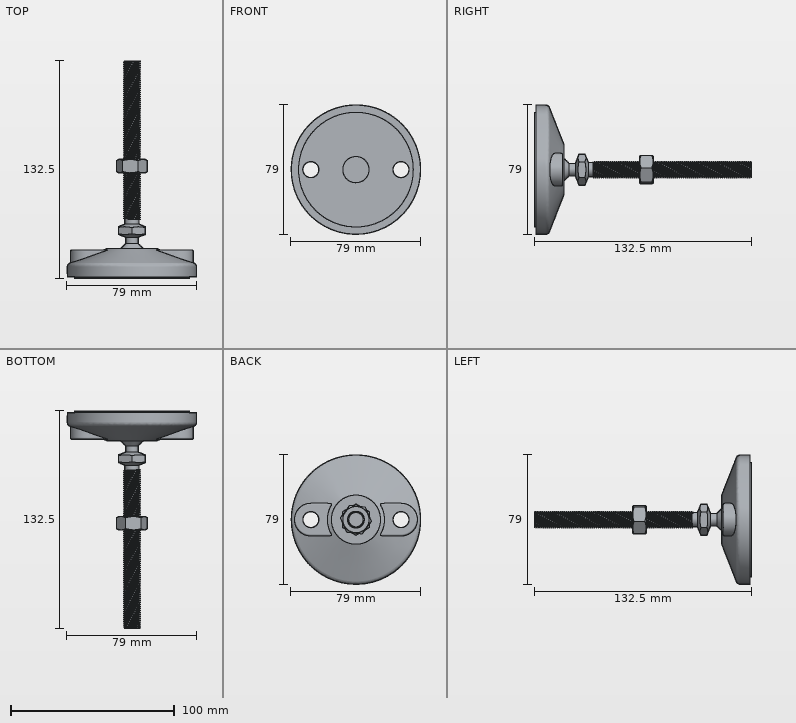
import cadquery as cq
import math


BASE_RADIUS = 39.5
BASE_BOTTOM = 0.9
BASE_TOP = 18.25
BASE_TOP_RADIUS = 15.0
CONE_FOOT = 8.65
RIM_FILLET = 2.6

BOSS_OFFSET = 27.5
BOSS_RADIUS = 10.0
BOSS_TOP = 17.3
BOSS_FILLET = 1.0
HOLE_RADIUS = 4.8

PAD_RADIUS = 35.0
PAD_THICKNESS = 5.0

FOOT_RADIUS = 8.0
FOOT_RECESS = BASE_BOTTOM
NECK_RADIUS = 3.9
NECK_START = 21.2
FOOT_SHOULDER = NECK_START - (FOOT_RADIUS - NECK_RADIUS)
HEX_ACROSS_FLATS = 16.5
HEX_CORNER_RADIUS = HEX_ACROSS_FLATS / math.sqrt(3)
COLLAR_START = 25.0
COLLAR_END = 33.1
COLLAR_CONE_LENGTH = 2.2
SHANK_RADIUS = 4.4
THREAD_START = 35.8
STUD_END = 132.5
THREAD_RADIUS = 5.1
THREAD_PITCH = 1.19
THREAD_ROOT_WIDTH = 0.6
THREAD_CREST_WIDTH = 0.1
THREAD_ROOT_DEPTH = 0.1
THREAD_SECTIONS = 8
THREAD_START_ANGLE = -40.0

NUT_START = 64.2
NUT_THICKNESS = 8.4
NUT_FACE_RADIUS = 8.0
NUT_CHAMFER_ANGLE = 30.0
NUT_TURN = 23.5


def cylinder(radius, start, end):
    """Cylinder on the Y axis between two heights."""
    return cq.Workplane("XZ", origin=(0, start, 0)).circle(radius).extrude(start - end)


def turned(points):
    """Solid of revolution about Y from (radius, height) points."""
    return cq.Workplane("XY").polyline(points).close().revolve(360, (0, 0), (0, 1))


def hexagon(start, end, turn):
    """Hexagonal prism on the Y axis; at zero turn two corners point along Z."""
    corners = [
        (
            HEX_CORNER_RADIUS * math.sin(math.radians(60 * i + turn)),
            HEX_CORNER_RADIUS * math.cos(math.radians(60 * i + turn)),
        )
        for i in range(6)
    ]
    return cq.Workplane("XZ", origin=(0, start, 0)).polyline(corners).close().extrude(start - end)


def mounting_holes():
    """Through holes shared by the base plate and the pad."""
    return (
        cq.Workplane("XZ")
        .pushPoints([(-BOSS_OFFSET, 0), (BOSS_OFFSET, 0)])
        .circle(HOLE_RADIUS)
        .extrude(-BASE_TOP)
    )


def foot_profile(bottom):
    """Revolved foot: a cylinder under a 45 degree cone that ends at the neck."""
    return turned(
        [
            (0, bottom),
            (FOOT_RADIUS, bottom),
            (FOOT_RADIUS, FOOT_SHOULDER),
            (NECK_RADIUS, NECK_START),
            (0, NECK_START),
        ]
    )


def make_base():
    plate = turned(
        [
            (0, BASE_BOTTOM),
            (BASE_RADIUS, BASE_BOTTOM),
            (BASE_RADIUS, CONE_FOOT),
            (BASE_TOP_RADIUS, BASE_TOP),
            (0, BASE_TOP),
        ]
    )
    rim_edge = cq.selectors.NearestToPointSelector((BASE_RADIUS, CONE_FOOT, 0))
    plate = plate.edges("%CIRCLE").edges(rim_edge).fillet(RIM_FILLET)
    bosses = (
        cq.Workplane("XZ", origin=(0, PAD_THICKNESS, 0))
        .slot2D(2 * (BOSS_OFFSET + BOSS_RADIUS), 2 * BOSS_RADIUS)
        .extrude(PAD_THICKNESS - BOSS_TOP)
        .faces(">Y")
        .edges()
        .fillet(BOSS_FILLET)
    )
    return (
        plate.union(bosses)
        .cut(cylinder(PAD_RADIUS, 0, PAD_THICKNESS))
        .cut(foot_profile(0))
        .cut(mounting_holes())
    )


def make_pad():
    return (
        cylinder(PAD_RADIUS, 0, PAD_THICKNESS)
        .cut(cylinder(FOOT_RADIUS, 0, PAD_THICKNESS))
        .cut(mounting_holes())
    )


def make_collar():
    """Hexagonal collar with a cone turned on each end."""
    cones = turned(
        [
            (0, COLLAR_START),
            (NECK_RADIUS, COLLAR_START),
            (HEX_CORNER_RADIUS, COLLAR_START + COLLAR_CONE_LENGTH),
            (HEX_CORNER_RADIUS, COLLAR_END - COLLAR_CONE_LENGTH),
            (SHANK_RADIUS, COLLAR_END),
            (0, COLLAR_END),
        ]
    )
    return hexagon(COLLAR_START, COLLAR_END, 0).intersect(cones)


def make_ridge(length):
    """Helical ridge from its four ruled sides, starting at local z = 0 on the X axis."""
    inner = SHANK_RADIUS - THREAD_ROOT_DEPTH
    profile = [
        (inner, -THREAD_ROOT_WIDTH / 2),
        (THREAD_RADIUS, -THREAD_CREST_WIDTH / 2),
        (THREAD_RADIUS, THREAD_CREST_WIDTH / 2),
        (inner, THREAD_ROOT_WIDTH / 2),
    ]
    helices = [cq.Wire.makeHelix(THREAD_PITCH, length, radius, cq.Vector(0, 0, z)) for radius, z in profile]
    neighbours = helices[1:] + helices[:1]
    faces = [cq.Face.makeRuledSurface(first, second) for first, second in zip(helices, neighbours)]
    for ends in ([h.startPoint() for h in helices], [h.endPoint() for h in helices]):
        faces.append(cq.Face.makeFromWires(cq.Wire.makePolygon(ends, close=True)))
    return cq.Solid.makeSolid(cq.Shell.makeShell(faces))


def make_threaded_rod():
    """Right-hand threaded rod: equal lengths of thread, each turned to carry on the helix of the last."""
    step = (STUD_END - THREAD_START) / THREAD_SECTIONS
    ridge = make_ridge(step + 2 * THREAD_PITCH).translate(cq.Vector(0, 0, -THREAD_PITCH))
    ridge = ridge.intersect(cq.Solid.makeCylinder(2 * THREAD_RADIUS, step))
    section = cq.Solid.makeCylinder(SHANK_RADIUS, step).fuse(ridge)
    flats = [face for face in section.Faces() if face.geomType() == "PLANE"]
    sides = [face for face in section.Faces() if face.geomType() != "PLANE"]
    bottom = [face for face in flats if face.Center().z < step / 2]
    top = [face for face in flats if face.Center().z > step / 2]

    axis_start = cq.Vector(0, 0, 0)
    axis_end = cq.Vector(0, 0, 1)
    skin = []
    for i in range(THREAD_SECTIONS):
        faces = list(sides)
        if i == 0:
            faces += bottom
        if i == THREAD_SECTIONS - 1:
            faces += top
        turn = 360 * i * step / THREAD_PITCH + THREAD_START_ANGLE
        lift = cq.Vector(0, 0, i * step)
        skin += [face.rotate(axis_start, axis_end, turn).translate(lift) for face in faces]
    rod = cq.Workplane(obj=cq.Solid.makeSolid(cq.Shell.makeShell(skin)))
    return rod.rotate((0, 0, 0), (1, 0, 0), -90).translate((0, THREAD_START, 0))


def make_stud():
    neck = cylinder(NECK_RADIUS, NECK_START, COLLAR_START)
    shank = cylinder(SHANK_RADIUS, COLLAR_END, THREAD_START)
    plain_end = foot_profile(FOOT_RECESS).union(neck).union(make_collar()).union(shank)
    return plain_end.union(make_threaded_rod())


def make_nut():
    """Hexagonal nut with both faces chamfered to a round land."""
    end = NUT_START + NUT_THICKNESS
    drop = (HEX_CORNER_RADIUS - NUT_FACE_RADIUS) * math.tan(math.radians(NUT_CHAMFER_ANGLE))
    cones = turned(
        [
            (0, NUT_START),
            (NUT_FACE_RADIUS, NUT_START),
            (HEX_CORNER_RADIUS, NUT_START + drop),
            (HEX_CORNER_RADIUS, end - drop),
            (NUT_FACE_RADIUS, end),
            (0, end),
        ]
    )
    blank = hexagon(NUT_START, end, NUT_TURN).intersect(cones)
    return blank.cut(cylinder(THREAD_RADIUS, NUT_START, end))


base = make_base()
pad = make_pad()
stud = make_stud()
nut = make_nut()
bodies = [base, pad, stud, nut]
result = cq.Compound.makeCompound([body.solids().val() for body in bodies])